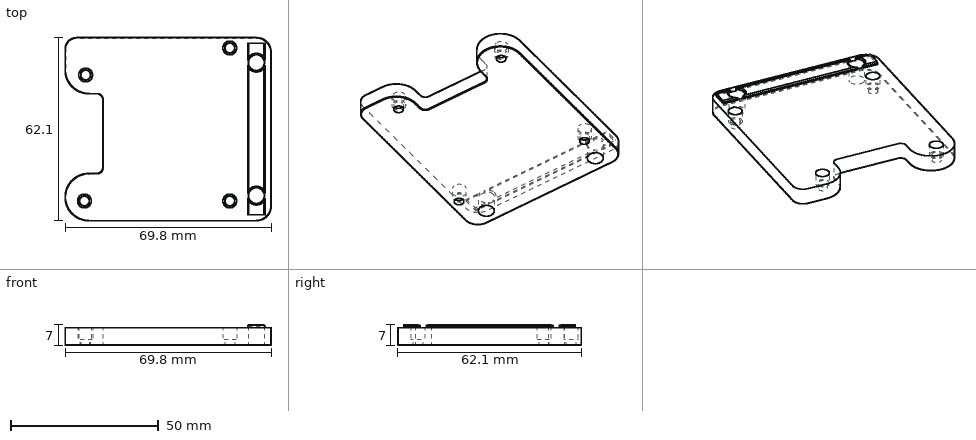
import cadquery as cq
import math

LENGTH = 69.8
WIDTH = 62.05
TOTAL_HEIGHT = 7.0
STRIP_HEIGHT = 1.0
THICKNESS = TOTAL_HEIGHT - STRIP_HEIGHT
BACK_LEFT_RADIUS = 4.0
RIGHT_RADIUS = 5.0
LOBE_RADIUS = 8.0
BOTTOM_CHAMFER = 0.2

NOTCH_DEPTH = 12.8
NOTCH_FRONT = 2 * LOBE_RADIUS
NOTCH_BACK = 43.0
NOTCH_RADIUS = 2.0

SCREW_HOLE_DIAMETER = 3.3
COUNTERBORE_DIAMETER = 4.7
COUNTERBORE_DEPTH = 4.0
SCREW_FRONT_Y = 6.7
SCREW_RIGHT_X = 55.75
SCREW_HOLES = [
    (6.55, SCREW_FRONT_Y),
    (7.0, 49.35),
    (SCREW_RIGHT_X, SCREW_FRONT_Y),
    (SCREW_RIGHT_X, 58.5),
]

STRIP_X = 64.8
STRIP_WIDTH = 6.0
STRIP_END_GAP = 2.0
STRIP_CHAMFER = 0.5
STRIP_LENGTH = WIDTH - 2 * STRIP_END_GAP
SIDE_OPENING = 2.0
LARGE_HOLE_DIAMETER = 5.4
LARGE_HOLE_CHAMFER = 0.5
LARGE_HOLES = [(STRIP_X, 8.5), (STRIP_X, 53.5)]


def round_corner(body, x, y, radius):
    """Fillet the upright edge of the plate that stands at (x, y)."""
    return body.edges(cq.selectors.NearestToPointSelector((x, y, THICKNESS / 2))).fillet(radius)


def make_plate():
    """Plate with a notched left side, rounded corners and a chamfered bottom rim."""
    lobe_bend = LOBE_RADIUS * math.sin(math.radians(45))
    plate = (
        cq.Workplane("XY")
        .moveTo(LOBE_RADIUS, 0)
        .lineTo(LENGTH, 0)
        .lineTo(LENGTH, WIDTH)
        .lineTo(0, WIDTH)
        .lineTo(0, NOTCH_BACK)
        .lineTo(NOTCH_DEPTH, NOTCH_BACK)
        .lineTo(NOTCH_DEPTH, NOTCH_FRONT)
        .lineTo(LOBE_RADIUS, NOTCH_FRONT)
        .threePointArc((LOBE_RADIUS - lobe_bend, LOBE_RADIUS + lobe_bend), (0, LOBE_RADIUS))
        .threePointArc((LOBE_RADIUS - lobe_bend, LOBE_RADIUS - lobe_bend), (LOBE_RADIUS, 0))
        .close()
        .extrude(THICKNESS)
    )
    rounded_corners = [
        (LENGTH, 0, RIGHT_RADIUS),
        (LENGTH, WIDTH, RIGHT_RADIUS),
        (0, WIDTH, BACK_LEFT_RADIUS),
        (0, NOTCH_BACK, LOBE_RADIUS),
        (NOTCH_DEPTH, NOTCH_BACK, NOTCH_RADIUS),
        (NOTCH_DEPTH, NOTCH_FRONT, NOTCH_RADIUS),
    ]
    for x, y, radius in rounded_corners:
        plate = round_corner(plate, x, y, radius)
    return plate.faces("<Z").chamfer(BOTTOM_CHAMFER)


def make_strip():
    """Raised strip with chamfered long edges, split by an opening at each large hole."""
    strip = (
        cq.Workplane("XY", origin=(STRIP_X, WIDTH / 2, THICKNESS))
        .rect(STRIP_WIDTH, STRIP_LENGTH)
        .extrude(STRIP_HEIGHT)
        .faces(">Z")
        .edges("|Y")
        .chamfer(STRIP_CHAMFER)
    )
    openings = (
        cq.Workplane("XY", origin=(0, 0, THICKNESS))
        .pushPoints(LARGE_HOLES)
        .rect(STRIP_WIDTH, SIDE_OPENING)
        .extrude(STRIP_HEIGHT)
    )
    return strip.cut(openings)


def drill(body, points, diameter, top, depth):
    """Cut round holes of the given depth downward from height top."""
    tools = (
        cq.Workplane("XY", origin=(0, 0, top))
        .pushPoints(points)
        .circle(diameter / 2)
        .extrude(-depth)
    )
    return body.cut(tools)


def chamfer_large_holes(body):
    """Cut a 45 degree cone into the strip at the mouth of each large hole."""
    hole_radius = LARGE_HOLE_DIAMETER / 2
    for x, y in LARGE_HOLES:
        cone = cq.Solid.makeCone(
            hole_radius,
            hole_radius + LARGE_HOLE_CHAMFER,
            LARGE_HOLE_CHAMFER,
            cq.Vector(x, y, TOTAL_HEIGHT - LARGE_HOLE_CHAMFER),
        )
        body = body.cut(cq.Workplane(cone))
    return body


result = make_plate().union(make_strip())
result = drill(result, SCREW_HOLES, SCREW_HOLE_DIAMETER, THICKNESS, THICKNESS)
result = drill(result, SCREW_HOLES, COUNTERBORE_DIAMETER, THICKNESS, COUNTERBORE_DEPTH)
result = drill(result, LARGE_HOLES, LARGE_HOLE_DIAMETER, TOTAL_HEIGHT, TOTAL_HEIGHT)
result = chamfer_large_holes(result)